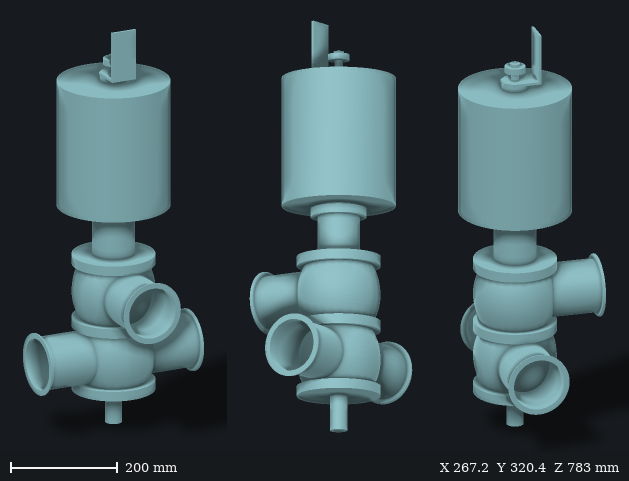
import cadquery as cq

ROD_LENGTH = 66.0
CLAMP_THICKNESS = 19.0
CHAMBER_HEIGHT = 105.0
CHAMBER_PITCH = CLAMP_THICKNESS + CHAMBER_HEIGHT
LOWER_CHAMBER_Z = ROD_LENGTH + CLAMP_THICKNESS + CHAMBER_HEIGHT / 2
UPPER_CHAMBER_Z = LOWER_CHAMBER_Z + CHAMBER_PITCH
VALVE_TOP_Z = ROD_LENGTH + 2 * CHAMBER_PITCH + CLAMP_THICKNESS
COLLAR_BOTTOM_Z = 407.0
COLLAR_THICKNESS = 16.5
ACTUATOR_BOTTOM_Z = 428.5
ACTUATOR_TOP_Z = 674.0
SEAT_HEIGHT = 5.0
SPACER_BOTTOM_Z = ACTUATOR_TOP_Z + SEAT_HEIGHT
BRACKET_BOTTOM_Z = 685.0
KNOB_BOTTOM_Z = 706.5
KNOB_TOP_Z = 718.0
CAP_TOP_Z = 724.0
BRACKET_TOP_Z = 783.0

ROD_DIAMETER = 32.0
CLAMP_DIAMETER = 157.5
CHAMBER_DIAMETER = 157.5
CHAMBER_END_DIAMETER = 130.0
YOKE_DIAMETER = 80.0
COLLAR_DIAMETER = 105.0
ACTUATOR_DIAMETER = 214.0
SPACER_DIAMETER = 50.0
STEM_DIAMETER = 16.0
KNOB_DIAMETER = 40.0
CAP_DIAMETER = 19.5

PORT_REACH = 160.2
PORT_DIAMETER = 102.0
PORT_BORE = 98.0
FERRULE_DIAMETER = 119.0
FERRULE_BACK_DIAMETER = 114.0
FERRULE_THICKNESS = 5.0
FERRULE_RIM = 2.0

BRACKET_THICKNESS = 5.0
BRACKET_REACH = 44.25
BRACKET_HEIGHT = BRACKET_TOP_Z - BRACKET_BOTTOM_Z
BRACKET_CHAMFER = 14.0


def disc(diameter, bottom, top):
    """Upright cylinder on the valve axis between two heights."""
    return cq.Workplane("XY").workplane(offset=bottom).circle(diameter / 2).extrude(top - bottom)


def chamber(center_z):
    """Solid barrel-shaped valve chamber with an arc for its side."""
    half_height = CHAMBER_HEIGHT / 2
    end_radius = CHAMBER_END_DIAMETER / 2
    return (
        cq.Workplane("XZ")
        .moveTo(0, center_z - half_height)
        .lineTo(end_radius, center_z - half_height)
        .threePointArc((CHAMBER_DIAMETER / 2, center_z), (end_radius, center_z + half_height))
        .lineTo(0, center_z + half_height)
        .close()
        .revolve(360, (0, 0, 0), (0, 1, 0))
    )


def port(center_z, angle):
    """Pipe with a tapered ferrule, starting on the valve axis and turned from +X by the angle."""
    pipe_radius = PORT_DIAMETER / 2
    ferrule_radius = FERRULE_DIAMETER / 2
    bore_radius = PORT_BORE / 2
    return (
        cq.Workplane("XZ")
        .polyline([
            (0, bore_radius),
            (PORT_REACH, bore_radius),
            (PORT_REACH, ferrule_radius),
            (PORT_REACH - FERRULE_RIM, ferrule_radius),
            (PORT_REACH - FERRULE_THICKNESS, FERRULE_BACK_DIAMETER / 2),
            (PORT_REACH - FERRULE_THICKNESS, pipe_radius),
            (0, pipe_radius),
        ])
        .close()
        .revolve(360, (0, 0, 0), (1, 0, 0))
        .rotate((0, 0, 0), (0, 0, 1), angle)
        .translate((0, 0, center_z))
    )


def make_valve():
    """Valve housing: rod, chambers with ports, clamps, yoke, actuator and indicator seat."""
    valve = disc(ROD_DIAMETER, 0, ROD_LENGTH)
    for level in range(3):
        clamp_bottom = ROD_LENGTH + level * CHAMBER_PITCH
        valve = valve.union(disc(CLAMP_DIAMETER, clamp_bottom, clamp_bottom + CLAMP_THICKNESS))
    for center_z, angles in ((LOWER_CHAMBER_Z, (90, -90)), (UPPER_CHAMBER_Z, (0,))):
        valve = valve.union(chamber(center_z))
        for angle in angles:
            valve = valve.union(port(center_z, angle))
    valve = valve.union(disc(YOKE_DIAMETER, VALVE_TOP_Z, ACTUATOR_BOTTOM_Z))
    valve = valve.union(disc(COLLAR_DIAMETER, COLLAR_BOTTOM_Z, COLLAR_BOTTOM_Z + COLLAR_THICKNESS))
    valve = valve.union(disc(ACTUATOR_DIAMETER, ACTUATOR_BOTTOM_Z, ACTUATOR_TOP_Z))
    return valve.union(disc(SPACER_DIAMETER, ACTUATOR_TOP_Z, SPACER_BOTTOM_Z))


def make_bracket():
    """Angle bracket: a foot with two chamfered corners and an upright plate."""
    half_width = SPACER_DIAMETER / 2
    foot = (
        cq.Workplane("XY")
        .box(half_width + BRACKET_REACH, SPACER_DIAMETER, BRACKET_THICKNESS, centered=(False, True, False))
        .edges("|Z and <X")
        .chamfer(BRACKET_CHAMFER)
        .translate((-half_width, 0, BRACKET_BOTTOM_Z))
    )
    upright = (
        cq.Workplane("XY")
        .box(BRACKET_THICKNESS, SPACER_DIAMETER, BRACKET_HEIGHT, centered=(False, True, False))
        .translate((BRACKET_REACH - BRACKET_THICKNESS, 0, BRACKET_BOTTOM_Z))
    )
    return foot.union(upright)


def make_indicator():
    """Position indicator: spacer, bracket, stem, knob and cap standing on the seat."""
    return (
        disc(SPACER_DIAMETER, SPACER_BOTTOM_Z, BRACKET_BOTTOM_Z)
        .union(make_bracket())
        .union(disc(STEM_DIAMETER, BRACKET_BOTTOM_Z, KNOB_BOTTOM_Z))
        .union(disc(KNOB_DIAMETER, KNOB_BOTTOM_Z, KNOB_TOP_Z))
        .union(disc(CAP_DIAMETER, KNOB_TOP_Z, CAP_TOP_Z))
    )


valve = make_valve()
indicator = make_indicator()
result = cq.Compound.makeCompound([valve.val(), indicator.val()])